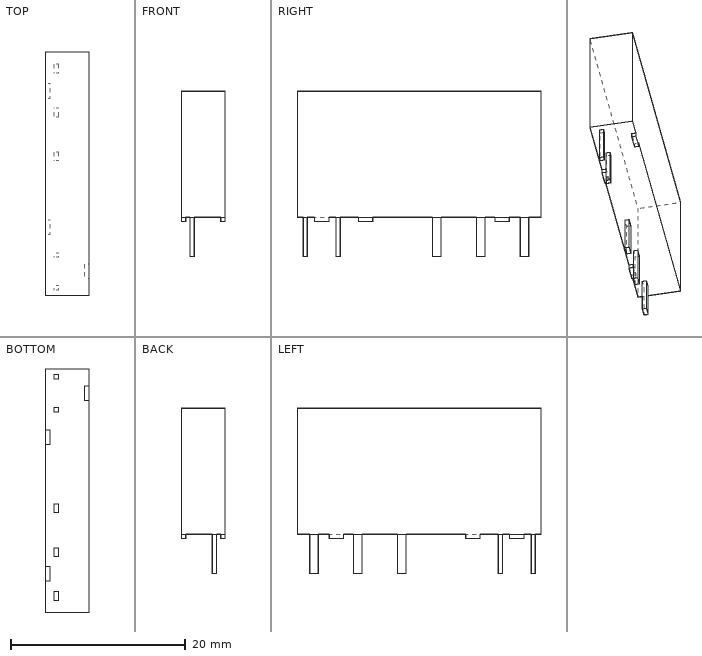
import cadquery as cq

length = 28.0
width = 5.0
body_height = 14.5

pin_length = 4.5
pin_thickness = 0.5
pin_side_gap = 0.98
contact_pin_width = 1.0
coil_pin_width = 0.5
pin_pitch = 5.05
first_pin_offset = 1.9
contact_pin_count = 3
coil_pin_offsets = (23.32, 27.1)

foot_size = 0.5
foot_length = 1.68
near_foot_offsets = (4.48, 20.15)
far_foot_offset = 25.2


def hanging_block(x_start, end_offset, size_x, size_y, drop):
    """Block below the housing, centred end_offset away from its +Y end."""
    y_centre = length / 2 - end_offset
    return (
        cq.Workplane("XY")
        .box(size_x, size_y, drop, centered=(False, True, False))
        .translate((x_start, y_centre, -drop))
    )


left_face = -width / 2
right_face = width / 2

result = cq.Workplane("XY").box(width, length, body_height, centered=(True, True, False))

pin_start = left_face + pin_side_gap
for index in range(contact_pin_count):
    offset = first_pin_offset + index * pin_pitch
    result = result.union(hanging_block(pin_start, offset, pin_thickness, contact_pin_width, pin_length))

for offset in coil_pin_offsets:
    result = result.union(hanging_block(pin_start, offset, pin_thickness, coil_pin_width, pin_length))

for offset in near_foot_offsets:
    result = result.union(hanging_block(left_face, offset, foot_size, foot_length, foot_size))
far_foot_start = right_face - foot_size
result = result.union(hanging_block(far_foot_start, far_foot_offset, foot_size, foot_length, foot_size))